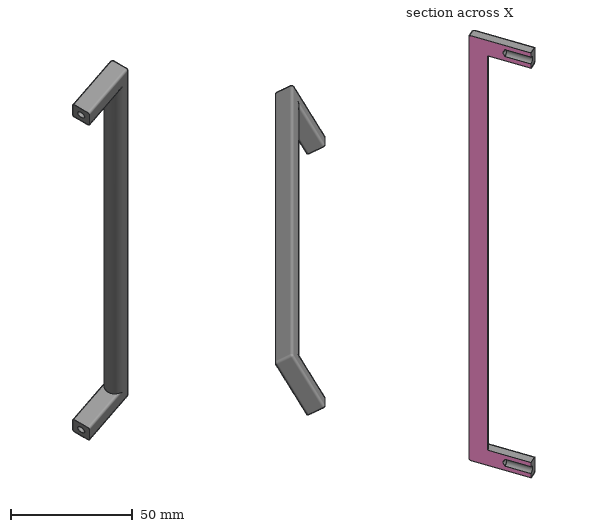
import cadquery as cq

width = 8.5
depth = 28.0
height = 232.5

edge_radius = 1.2
leg_height = width
grip_radius = width / 2

hole_diameter = 3.5
hole_depth = 11.6
drill_point_length = 1.0

front_y = -depth / 2
back_y = depth / 2
grip_center_y = back_y - grip_radius
leg_center_z = (height - leg_height) / 2


def make_envelope():
    """Outer block, rounded everywhere except around the front mounting face."""
    block = cq.Workplane("XY").box(width, depth, height)
    return block.edges("|Y or >Y").fillet(edge_radius)


def make_grip():
    """Vertical bar between the leg centers, with a flat back and a half-round front."""
    return (
        cq.Workplane("XY", origin=(0, 0, -leg_center_z))
        .moveTo(-grip_radius, back_y)
        .lineTo(-grip_radius, grip_center_y)
        .threePointArc((0, grip_center_y - grip_radius), (grip_radius, grip_center_y))
        .lineTo(grip_radius, back_y)
        .close()
        .extrude(2 * leg_center_z)
    )


def make_leg(center_z):
    """Square mounting leg with rounded long edges."""
    leg = cq.Workplane("XY").box(width, depth, leg_height).edges("|Y").fillet(edge_radius)
    return leg.translate((0, 0, center_z))


def make_screw_hole(center_z):
    """Tool body for a blind hole, revolved about the leg axis."""
    hole_radius = hole_diameter / 2
    bottom_y = front_y + hole_depth
    return (
        cq.Workplane("XY", origin=(0, 0, center_z))
        .moveTo(0, front_y)
        .lineTo(hole_radius, front_y)
        .lineTo(hole_radius, bottom_y)
        .lineTo(0, bottom_y + drill_point_length)
        .close()
        .revolve(360, (0, 0), (0, 1))
    )


handle = make_grip()
for center_z in (-leg_center_z, leg_center_z):
    handle = handle.union(make_leg(center_z))

handle = handle.intersect(make_envelope())

for center_z in (-leg_center_z, leg_center_z):
    handle = handle.cut(make_screw_hole(center_z))

result = handle